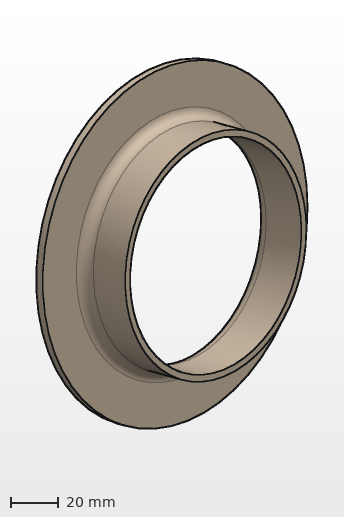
import cadquery as cq

flange_diameter = 158.0
neck_diameter = 108.0
bore_diameter = 102.0
length = 28.0
flange_thickness = 4.0
mouth_radius = 7.0
root_radius = 5.0

flange = cq.Workplane("YZ").circle(flange_diameter / 2).extrude(flange_thickness)

neck = cq.Workplane("YZ").circle(neck_diameter / 2).extrude(length)
body = flange.union(neck)

flange_back = body.faces("+X").faces("<X")
neck_root = flange_back.edges(cq.selectors.RadiusNthSelector(0))
body = neck_root.fillet(root_radius)

bore = cq.Workplane("YZ").circle(bore_diameter / 2).extrude(length)
body = body.cut(bore)
bore_mouth = body.faces("<X").edges(cq.selectors.RadiusNthSelector(0))
result = bore_mouth.fillet(mouth_radius)